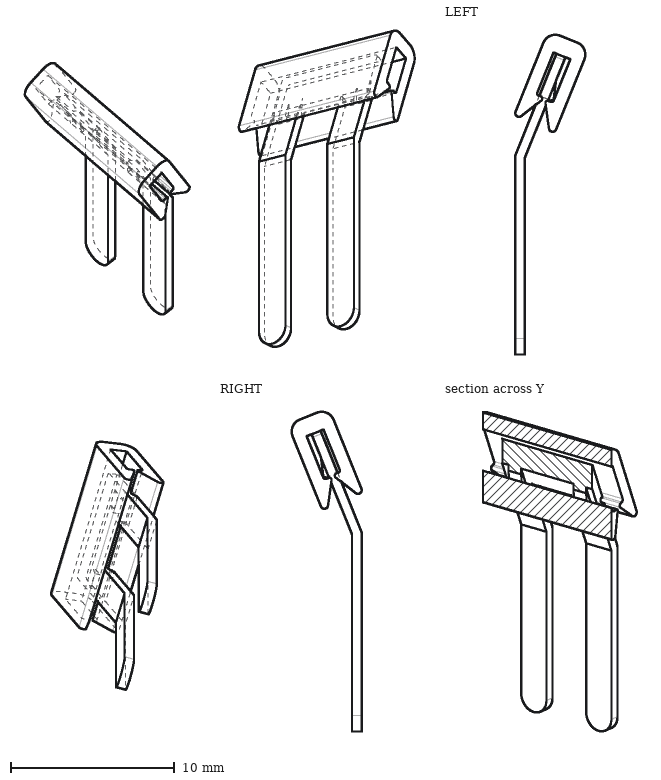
import cadquery as cq
import math

TILT = 22.0
BEND_HEIGHT = 12.15

THICKNESS = 0.6
LEG_WIDTH = 2.0
LEG_PITCH = 5.12
STRIP_LENGTH = 6.72
BRIDGE_CORNER_RADIUS = 0.2
BARB_WIDTH = 1.0
BARB_LENGTH = 1.33

CLIP_LENGTH = 10.14
CLIP_WIDTH = 2.71
CLIP_TOP = 7.83
CLIP_CENTER = 0.37
CLIP_CORNER_RADIUS = 0.8
SLOT_WIDTH = 1.1
REAR_SHELF_HEIGHT = 3.95
FRONT_SHELF_DROP = 0.08
FRONT_SHELF_HEIGHT = REAR_SHELF_HEIGHT - FRONT_SHELF_DROP
MOUTH_HALF_GAP = 0.02
LIP_ANGLE = 30.0
LIP_END_RADIUS = 0.23
SHELF_RADIUS = 0.146

BRIDGE_WIDTH = LEG_PITCH + LEG_WIDTH


def tilted_plane():
    tilt = math.radians(TILT)
    return cq.Plane(
        origin=(0, 0, BEND_HEIGHT),
        xDir=(0, -math.cos(tilt), -math.sin(tilt)),
        normal=(-1, 0, 0),
    )


def tilted_profile(points, width):
    """Extrude an outline in the tilted frame, centred on X = 0."""
    return cq.Workplane(tilted_plane()).polyline(points).close().extrude(width / 2, both=True)


def make_leg(center_x):
    """One leg with a round lower end and a bend below its tilted upper strip."""
    tilt = math.radians(TILT)
    top_rear_y = -STRIP_LENGTH * math.sin(tilt)
    top_rear_z = BEND_HEIGHT + STRIP_LENGTH * math.cos(tilt)
    top_front_y = top_rear_y - THICKNESS * math.cos(tilt)
    top_front_z = top_rear_z - THICKNESS * math.sin(tilt)
    front_bend_z = BEND_HEIGHT - THICKNESS * math.tan(tilt / 2)
    leg = (
        cq.Workplane("YZ")
        .moveTo(0, 0)
        .lineTo(0, BEND_HEIGHT)
        .lineTo(top_rear_y, top_rear_z)
        .lineTo(top_front_y, top_front_z)
        .lineTo(-THICKNESS, front_bend_z)
        .lineTo(-THICKNESS, 0)
        .close()
        .extrude(LEG_WIDTH / 2, both=True)
    )
    end_radius = LEG_WIDTH / 2
    rounded_envelope = (
        cq.Workplane("XZ")
        .moveTo(-end_radius, end_radius)
        .threePointArc((0, 0), (end_radius, end_radius))
        .lineTo(end_radius, top_rear_z)
        .lineTo(-end_radius, top_rear_z)
        .close()
        .extrude(top_rear_z, both=True)
    )
    return leg.intersect(rounded_envelope).translate((center_x, 0, 0))


def make_bridge():
    """Plate inside the clip that joins both legs, with rounded upper corners."""
    corners = [
        (0, REAR_SHELF_HEIGHT),
        (THICKNESS, REAR_SHELF_HEIGHT),
        (THICKNESS, STRIP_LENGTH),
        (0, STRIP_LENGTH),
    ]
    return tilted_profile(corners, BRIDGE_WIDTH)


def make_barb(center_x):
    """Wedge on the front of a leg that rests on the clip's shelf."""
    wall = CLIP_CENTER + SLOT_WIDTH / 2
    corners = [
        (THICKNESS, FRONT_SHELF_HEIGHT),
        (wall, FRONT_SHELF_HEIGHT + SHELF_RADIUS),
        (THICKNESS, FRONT_SHELF_HEIGHT + BARB_LENGTH),
    ]
    return tilted_profile(corners, BARB_WIDTH).translate((center_x, 0, 0))


def round_bridge_corners(pin):
    """Round the two outer upper corners of the pin through its thickness."""
    for side in (-1, 1):
        corner = tilted_plane().toWorldCoords((THICKNESS / 2, STRIP_LENGTH, side * BRIDGE_WIDTH / 2))
        nearest = cq.selectors.NearestToPointSelector(corner.toTuple())
        pin = pin.edges(nearest).fillet(BRIDGE_CORNER_RADIUS)
    return pin


def make_pin():
    pin = make_bridge()
    for side in (-1, 1):
        center_x = side * LEG_PITCH / 2
        pin = pin.union(make_leg(center_x)).union(make_barb(center_x))
    return round_bridge_corners(pin.clean())


def clip_side(side, shelf_height):
    """Corners of one clip arm from the top down and back into the slot: across, along, radius."""
    half_width = CLIP_WIDTH / 2
    half_slot = SLOT_WIDTH / 2
    lip_height = (half_width - MOUTH_HALF_GAP) / math.tan(math.radians(LIP_ANGLE))
    corners = [
        (half_width, CLIP_TOP, CLIP_CORNER_RADIUS),
        (half_width, shelf_height - lip_height, LIP_END_RADIUS),
        (MOUTH_HALF_GAP, shelf_height, SHELF_RADIUS),
        (half_slot, shelf_height, SHELF_RADIUS),
        (half_slot, STRIP_LENGTH, 0),
    ]
    return [(CLIP_CENTER + side * across, along, radius) for across, along, radius in corners]


def make_clip(pin):
    """Channel with two hooked lips, relieved where the pin passes between them."""
    front_corners = clip_side(1, FRONT_SHELF_HEIGHT)
    rear_corners = clip_side(-1, REAR_SHELF_HEIGHT)
    corners = front_corners + rear_corners[::-1]
    clip = tilted_profile([(across, along) for across, along, _ in corners], CLIP_LENGTH)
    for across, along, radius in corners:
        if radius > 0:
            corner = tilted_plane().toWorldCoords((across, along, 0))
            nearest = cq.selectors.NearestToPointSelector(corner.toTuple())
            clip = clip.edges("|X").edges(nearest).fillet(radius)
    return clip.cut(pin)


pin = make_pin()
clip = make_clip(pin)

result = cq.Compound.makeCompound([*clip.solids().vals(), *pin.solids().vals()])